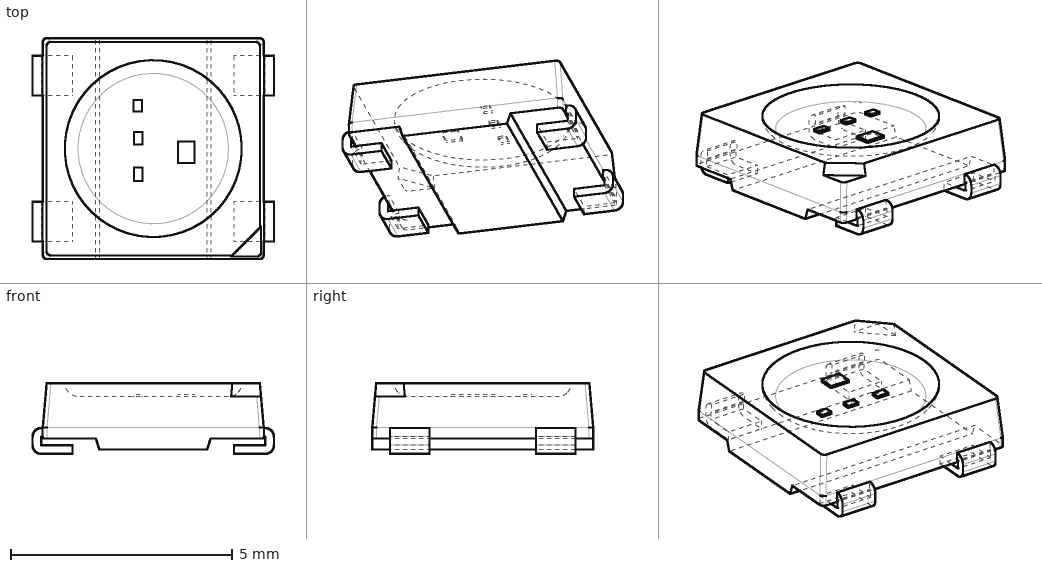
import cadquery as cq
import math

BODY_SIDE = 5.0
TOP_Z = 1.6
PARTING_Z = 0.6
UNDERSIDE_Z = 0.35
DRAFT_ANGLE = 5.0
CORNER_RADIUS = 0.1

KEEL_BOTTOM_Z = 0.1
KEEL_TOP_HALF_WIDTH = 1.3
KEEL_BOTTOM_HALF_WIDTH = 1.22

CUP_RIM_RADIUS = 2.0
CUP_FLOOR_RADIUS = 1.7
CUP_WALL_RADIUS = CUP_RIM_RADIUS - CUP_FLOOR_RADIUS
CUP_FLOOR_Z = TOP_Z - CUP_WALL_RADIUS

MARK_DEPTH = 0.3
MARK_X_MINUS_Y = 4.2

DIE_THICKNESS = 0.05
DIES = [
    (-0.35, 0.97, 0.20, 0.26),
    (-0.34, 0.23, 0.19, 0.28),
    (-0.34, -0.58, 0.19, 0.30),
    (0.745, -0.085, 0.38, 0.49),
]

LEAD_OUTER_X = 2.73
LEAD_THICKNESS = 0.2
LEAD_TOP_Z = 0.59
LEAD_WIDTH = 0.9
LEAD_CENTRE_Y = 1.65
FOOT_LENGTH = 0.91
LEAD_EMBED_DEPTH = 0.3


def make_housing():
    height = TOP_Z - PARTING_Z
    base = (
        cq.Workplane("XY", origin=(0, 0, UNDERSIDE_Z))
        .rect(BODY_SIDE, BODY_SIDE)
        .extrude(PARTING_Z - UNDERSIDE_Z)
        .edges("|Z")
        .fillet(CORNER_RADIUS)
    )
    drafted = (
        cq.Workplane("XY", origin=(0, 0, PARTING_Z))
        .rect(BODY_SIDE, BODY_SIDE)
        .extrude(height, taper=DRAFT_ANGLE)
        .edges("not(#Z)")
        .fillet(CORNER_RADIUS)
    )
    return base.union(drafted)


def make_keel():
    outline = [
        (-KEEL_TOP_HALF_WIDTH, UNDERSIDE_Z),
        (-KEEL_BOTTOM_HALF_WIDTH, KEEL_BOTTOM_Z),
        (KEEL_BOTTOM_HALF_WIDTH, KEEL_BOTTOM_Z),
        (KEEL_TOP_HALF_WIDTH, UNDERSIDE_Z),
    ]
    return cq.Workplane("XZ").polyline(outline).close().extrude(BODY_SIDE / 2, both=True)


def make_cup():
    """Solid of revolution whose quarter-round wall runs from an upright rim into the flat floor."""
    diagonal = CUP_WALL_RADIUS * math.sqrt(0.5)
    wall_middle = (CUP_FLOOR_RADIUS + diagonal, TOP_Z - diagonal)
    return (
        cq.Workplane("XZ")
        .moveTo(0, TOP_Z)
        .lineTo(0, CUP_FLOOR_Z)
        .lineTo(CUP_FLOOR_RADIUS, CUP_FLOOR_Z)
        .threePointArc(wall_middle, (CUP_RIM_RADIUS, TOP_Z))
        .close()
        .revolve(360, (0, 0, 0), (0, 1, 0))
    )


def make_corner_mark():
    half = BODY_SIDE / 2
    outline = [
        (MARK_X_MINUS_Y - half, -half),
        (half, -half),
        (half, half - MARK_X_MINUS_Y),
    ]
    return (
        cq.Workplane("XY", origin=(0, 0, TOP_Z - MARK_DEPTH))
        .polyline(outline)
        .close()
        .extrude(MARK_DEPTH)
    )


def make_die(x, y, size_x, size_y):
    return (
        cq.Workplane("XY", origin=(x, y, CUP_FLOOR_Z))
        .rect(size_x, size_y)
        .extrude(DIE_THICKNESS)
    )


def make_lead(centre_y):
    """Lead on the +X side: out of the housing, down, and back under it as a foot."""
    bend = LEAD_THICKNESS
    outer = LEAD_OUTER_X
    inner = outer - LEAD_THICKNESS
    embedded = BODY_SIDE / 2 - LEAD_EMBED_DEPTH
    foot_end = outer - FOOT_LENGTH
    inset = bend * (1 - math.sqrt(0.5))
    return (
        cq.Workplane("XZ", origin=(0, centre_y, 0))
        .moveTo(embedded, LEAD_TOP_Z)
        .lineTo(inner, LEAD_TOP_Z)
        .threePointArc((outer - inset, LEAD_TOP_Z - inset), (outer, LEAD_TOP_Z - bend))
        .lineTo(outer, bend)
        .threePointArc((outer - inset, inset), (inner, 0))
        .lineTo(foot_end, 0)
        .lineTo(foot_end, LEAD_THICKNESS)
        .lineTo(inner, LEAD_THICKNESS)
        .lineTo(inner, LEAD_TOP_Z - LEAD_THICKNESS)
        .lineTo(embedded, LEAD_TOP_Z - LEAD_THICKNESS)
        .close()
        .extrude(LEAD_WIDTH / 2, both=True)
    )


result = make_housing().union(make_keel()).cut(make_cup()).cut(make_corner_mark())

for die in DIES:
    result = result.union(make_die(*die))

for centre_y in (-LEAD_CENTRE_Y, LEAD_CENTRE_Y):
    lead = make_lead(centre_y)
    result = result.union(lead).union(lead.mirror("YZ"))